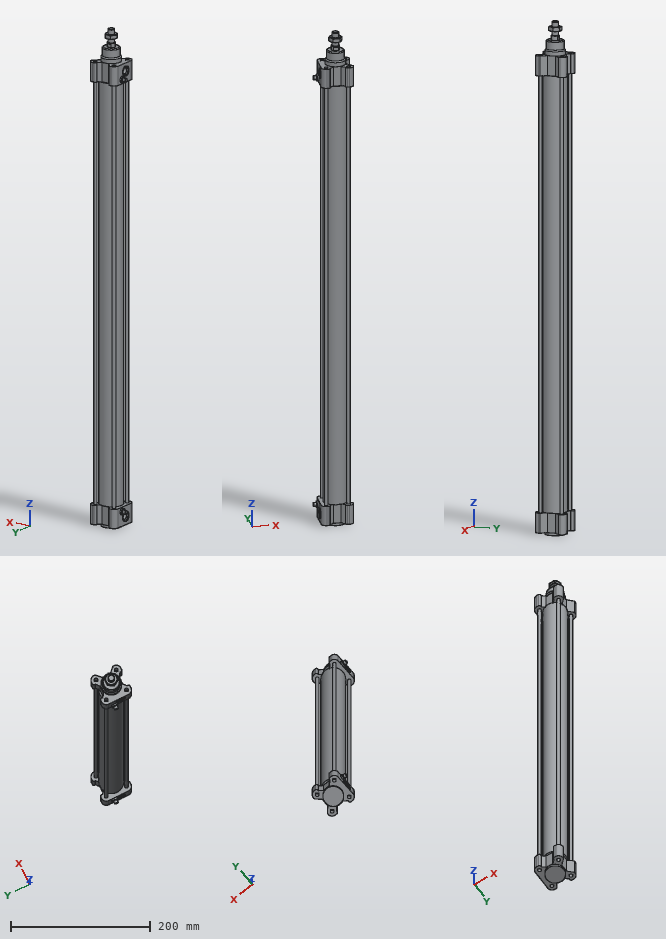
import cadquery as cq
import math


total_length = 746.0
head_length = 29.0
rear_collar_height = 4.0
rod_end_overhang = 48.0
rear_head_bottom = rear_collar_height
rear_head_top = rear_head_bottom + head_length
front_head_top = total_length - rod_end_overhang
front_head_bottom = front_head_top - head_length

head_size = 47.0
half_head = head_size / 2
tie_rod_pitch = 32.5
corner_radius = half_head - tie_rod_pitch / 2
leg_inner_edge = 11.0
leg_edge_fillet = 2.5
valley_shoulder = 19.5
valley_floor = 15.25
side_floor_half_width = 5.5
back_floor_half_width = 6.0
back_mouth_half_width = back_floor_half_width + half_head - valley_floor
head_screw_diameter = 5.2
head_screw_depth = 15.0

barrel_diameter = 36.0
tie_rod_diameter = 5.2

collar_diameter = 30.0
front_collar_height = 8.0
collar_chamfer = 1.9
gland_diameter = 26.0
gland_height = 21.0
gland_chamfer = 1.5
gland_top = front_head_top + gland_height

port_y = -3.5
port_inset = 12.5
port_seat_diameter = 15.0
port_seat_depth = 1.0
port_mouth_diameter = 11.5
port_diameter = 8.8
port_depth = 10.0
cushion_y = 6.75
cushion_inset = 22.5
cushion_flange_diameter = 10.0
cushion_flange_height = 3.0
cushion_flange_chamfer = 0.75
cushion_tip_diameter = 6.0
cushion_tip_chamfer = 0.5
cushion_height = 7.5

rod_diameter = 12.0
rod_shoulder_chamfer = 0.9
thread_diameter = 10.0
thread_length = 20.0
thread_chamfer = 1.0
thread_start = total_length - thread_length
flats_width = 10.0
flats_length = 5.0

nut_width = 17.0
nut_thickness = 6.5
nut_chamfer_diameter = 16.0
nut_chamfer_angle = math.radians(30)
nut_top = total_length - 7.5
nut_bottom = nut_top - nut_thickness


def level(z):
    """Horizontal work plane at height z."""
    return cq.Workplane("XY").workplane(offset=z)


def disc(diameter, bottom, height):
    return level(bottom).circle(diameter / 2).extrude(height)


def at_tie_rods(z):
    """The four tie-rod centres at height z."""
    return level(z).rect(tie_rod_pitch, tie_rod_pitch, forConstruction=True).vertices()


def on_port_face(y, z):
    """Work plane on the -X face of a head, with its normal pointing outwards."""
    return cq.Workplane(cq.Plane(origin=(-half_head, y, z), xDir=(0, -1, 0), normal=(-1, 0, 0)))


def side_valley(side, bottom):
    """Cutter for the valley on the +Y (side 1) or -Y (side -1) face."""
    points = [
        (-leg_inner_edge, side * half_head),
        (-leg_inner_edge, side * valley_shoulder),
        (-side_floor_half_width, side * valley_floor),
        (side_floor_half_width, side * valley_floor),
        (leg_inner_edge, side * valley_shoulder),
        (leg_inner_edge, side * half_head),
    ]
    return level(bottom).polyline(points).close().extrude(head_length)


def back_valley(bottom):
    """Cutter for the valley on the +X face."""
    points = [
        (half_head, back_mouth_half_width),
        (valley_floor, back_floor_half_width),
        (valley_floor, -back_floor_half_width),
        (half_head, -back_mouth_half_width),
    ]
    return level(bottom).polyline(points).close().extrude(head_length)


def head_block(bottom):
    block = level(bottom).rect(head_size, head_size).extrude(head_length)
    block = block.edges("|Z").fillet(corner_radius)
    for side in (1, -1):
        block = block.cut(side_valley(side, bottom))
        for leg in (1, -1):
            leg_edge = (leg * leg_inner_edge, side * half_head, bottom + head_length / 2)
            block = block.edges(cq.selectors.NearestToPointSelector(leg_edge)).fillet(leg_edge_fillet)
    return block.cut(back_valley(bottom))


def port_cutter(z):
    """Port bore with a shallow seat and a 45 degree mouth."""
    face = on_port_face(port_y, z)
    seat = face.circle(port_seat_diameter / 2).extrude(-port_seat_depth)
    bore = face.circle(port_diameter / 2).extrude(-port_depth)
    mouth_depth = (port_mouth_diameter - port_diameter) / 2
    mouth = face.workplane(offset=-port_seat_depth).circle(port_mouth_diameter / 2)
    mouth = mouth.workplane(offset=-mouth_depth).circle(port_diameter / 2).loft()
    return seat.union(bore).union(mouth)


def cushion_screw(z):
    face = on_port_face(cushion_y, z)
    flange = face.circle(cushion_flange_diameter / 2).extrude(cushion_flange_height)
    flange = flange.faces("<X").chamfer(cushion_flange_chamfer)
    tip = face.circle(cushion_tip_diameter / 2).extrude(cushion_height)
    return flange.union(tip.faces("<X").chamfer(cushion_tip_chamfer))


def make_head(bottom, outer_face, inward):
    """Head whose outer end face is at outer_face; inward is the Z direction (1 or -1) to the barrel."""
    screw_holes = at_tie_rods(outer_face).circle(head_screw_diameter / 2).extrude(inward * head_screw_depth)
    block = head_block(bottom).cut(port_cutter(outer_face + inward * port_inset))
    block = block.union(cushion_screw(outer_face + inward * cushion_inset))
    return block.cut(screw_holes)


def make_gland():
    collar = disc(collar_diameter, front_head_top, front_collar_height)
    collar = collar.faces(">Z").chamfer(collar_chamfer)
    neck = disc(gland_diameter, front_head_top, gland_height)
    return collar.union(neck.faces(">Z").chamfer(gland_chamfer))


def make_housing():
    barrel_length = front_head_bottom - rear_head_top
    body = disc(barrel_diameter, rear_head_top, barrel_length)
    body = body.union(at_tie_rods(rear_head_top).circle(tie_rod_diameter / 2).extrude(barrel_length))
    body = body.union(make_head(rear_head_bottom, rear_head_bottom, 1))
    body = body.union(make_head(front_head_bottom, front_head_top, -1))
    body = body.union(disc(collar_diameter, 0, rear_collar_height))
    body = body.union(make_gland())
    return body.cut(disc(rod_diameter, front_head_bottom, gland_top - front_head_bottom))


def make_rod():
    shank = disc(rod_diameter, front_head_bottom, thread_start - front_head_bottom)
    shank = shank.faces(">Z").chamfer(rod_shoulder_chamfer)
    cutter_size = 2 * rod_diameter
    flats_cutter = level(gland_top).rect(cutter_size, cutter_size).rect(cutter_size, flats_width)
    flats_cutter = flats_cutter.extrude(flats_length)
    thread = disc(thread_diameter, thread_start, thread_length).faces(">Z").chamfer(thread_chamfer)
    return shank.cut(flats_cutter).union(thread)


def make_nut():
    across_corners = nut_width / math.cos(math.pi / 6)
    hexagon = level(nut_bottom).polygon(6, across_corners).extrude(nut_thickness)
    chamfer_width = (across_corners - nut_chamfer_diameter) / 2
    chamfer_height = chamfer_width * math.tan(nut_chamfer_angle)
    envelope = disc(across_corners, nut_bottom, nut_thickness)
    envelope = envelope.faces("<Z or >Z").chamfer(chamfer_height, chamfer_width)
    return hexagon.intersect(envelope).cut(disc(thread_diameter, nut_bottom, nut_thickness))


housing = make_housing()
rod = make_rod()
nut = make_nut()

result = cq.Compound.makeCompound([housing.val(), rod.val(), nut.val()])